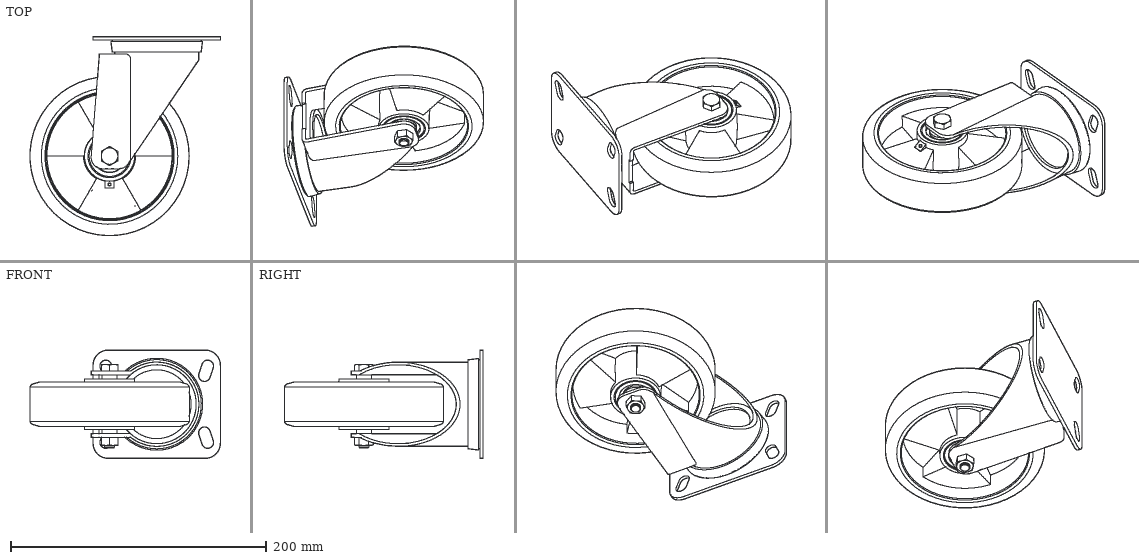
import cadquery as cq
import math


plate_length = 100.0
plate_width = 85.0
plate_thickness = 2.7
plate_corner_radius = 12.0
swivel_offset = 37.0
slot_diameter = 9.0
slot_outer_place = (40.0, 30.0)
slot_inner_place = (37.5, 22.5)
neck_radius = 35.0
neck_height = 1.0

wheel_diameter = 125.0
wheel_width = 35.0
wheel_radius = wheel_diameter / 2
half_wheel = wheel_width / 2
tread_corner_radius = 60.4
tread_corner_half_width = 15.9
tread_cylinder_half_width = 13.5
tread_bulge = (61.6, 15.0)
tread_face_radius = 55.0
core_diameter = 107.0
core_radius = core_diameter / 2
rim_chamfer_radius = 50.7
rim_inner_radius = 49.9
rim_middle_radius = 49.0
rim_chamfer_depth = 0.8

hub_width = 40.0
half_hub = hub_width / 2
hub_face_radius = 19.7
hub_middle_radius = 20.5
hub_chamfer = 1.0
hub_chamfer_depth = 0.6
raised_hub_height = 14.7
raised_rim_height = 6.1
lowered_hub_height = -14.8
lowered_rim_height = -3.6
web_thickness = 1.7
web_overlap = 0.6
web_sectors = 6
sector_angle = 360 / web_sectors
rib_angle = 3.0
tag_width = 7.3
tag_reach = 25.1
tag_hub_height = 17.3
tag_end_height = 13.3
tag_hole_diameter = 2.5
tag_hole_depth = 0.6

bearing_diameter = 32.0
groove_outer_diameter = 25.9
groove_floor_diameter = 25.3
groove_inner_diameter = 20.1
groove_depth = 1.9
tube_diameter = 12.0
bolt_diameter = 8.0
bolt_tip_diameter = 6.7
hex_across_flats = 13.0
head_height = 5.1
nut_height = 6.2
bolt_tip_length = 1.9
hex_corner_diameter = hex_across_flats / math.cos(math.pi / 6)

fork_outer_width = 52.1
fork_sheet = 3.0
half_fork = fork_outer_width / 2
half_gap = half_fork - fork_sheet
bridge_top = 80.2
bridge_bend_radius = 4.2
leg_top_edge = -8.3
leg_bottom_edge = -15.1
leg_end = 10.0
leg_corner_radius = 8.9
skirt_diameter = 66.1
skirt_inner_diameter = 62.0
skirt_radius = skirt_diameter / 2
skirt_cut_start = 75.3
skirt_cut_angle = 55.8
pad_height = 2.3
pad_recess_diameter = 54.0
notch_depth = 1.5
notch_width = 25.0
collar_top_radius = 36.0
collar_bottom_radius = 35.0
collar_height = 8.5

plate_top = 156 - wheel_radius
plate_bottom = plate_top - plate_thickness
collar_top = plate_bottom - neck_height
collar_bottom = collar_top - collar_height
bridge_bottom = bridge_top - fork_sheet


def turned(outline, angle=360, start=0):
    """Solid of a closed (radius, Z) outline turned about Z."""
    solid = cq.Workplane("XZ").polyline(outline).close().revolve(angle, (0, 0), (0, 1))
    return solid.rotate((0, 0, 0), (0, 0, 1), start)


def upright(diameter, bottom, top):
    """Cylinder about the wheel axle between two Z heights."""
    return cq.Workplane("XY").workplane(offset=bottom).circle(diameter / 2).extrude(top - bottom)


def swivel_disc(radius, top, height):
    """Disc about the swivel axis, going down in Y from its top face."""
    return cq.Workplane("XZ", origin=(swivel_offset, top, 0)).circle(radius).extrude(height)


def make_plate():
    """Rounded plate with four slanted bolt slots and the short neck of the swivel."""
    plate = (
        cq.Workplane("XY")
        .box(plate_length, plate_thickness, plate_width)
        .edges("|Y")
        .fillet(plate_corner_radius)
        .translate((swivel_offset, plate_top - plate_thickness / 2, 0))
    )
    slot_dx = slot_outer_place[0] - slot_inner_place[0]
    slot_dz = slot_outer_place[1] - slot_inner_place[1]
    slot_length = math.hypot(slot_dx, slot_dz) + slot_diameter
    slot_angle = math.degrees(math.atan2(slot_dz, slot_dx))
    middle_x = (slot_outer_place[0] + slot_inner_place[0]) / 2
    middle_z = (slot_outer_place[1] + slot_inner_place[1]) / 2
    for side_x in (-1, 1):
        for side_z in (-1, 1):
            slot = (
                cq.Workplane("XZ", origin=(swivel_offset + side_x * middle_x, plate_top, side_z * middle_z))
                .slot2D(slot_length, slot_diameter, side_x * side_z * slot_angle)
                .extrude(plate_thickness)
            )
            plate = plate.cut(slot)
    return plate.union(swivel_disc(neck_radius, plate_bottom, neck_height))


def fork_side_outline():
    """Solid as wide as the skirt whose X-Y outline is the side shape of the fork."""
    cut_run = (skirt_cut_start + leg_end) / math.tan(math.radians(skirt_cut_angle))
    back = swivel_offset + skirt_radius
    outline = [
        (leg_top_edge, bridge_top),
        (leg_top_edge, bridge_bottom),
        (leg_bottom_edge, -leg_end),
        (back - cut_run, -leg_end),
        (back, skirt_cut_start),
        (back, bridge_top),
    ]
    block = cq.Workplane("XY").polyline(outline).close().extrude(skirt_radius, both=True)
    return block.edges("|Z").edges("<Y").fillet(leg_corner_radius)


def make_fork():
    """Two legs on a notched bent bridge, a slanted round skirt behind them and the swivel collar above."""
    tall = bridge_top + leg_end
    legs_length = swivel_offset - leg_bottom_edge
    middle_x = (swivel_offset + leg_bottom_edge) / 2
    strap = (
        cq.Workplane("XY")
        .box(legs_length, tall, fork_outer_width)
        .translate((middle_x, bridge_top - tall / 2, 0))
        .edges("|X and >Y")
        .fillet(bridge_bend_radius)
    )
    strap_space = (
        cq.Workplane("XY")
        .box(legs_length, tall, 2 * half_gap)
        .translate((middle_x, bridge_bottom - tall / 2, 0))
        .edges("|X and >Y")
        .fillet(bridge_bend_radius - fork_sheet)
    )
    skirt = swivel_disc(skirt_radius, bridge_top, tall)
    skirt_space = swivel_disc(skirt_inner_diameter / 2, bridge_bottom, tall)
    fork = strap.union(skirt).cut(strap_space).cut(skirt_space).intersect(fork_side_outline())
    top_disc = swivel_disc(skirt_radius, collar_bottom, collar_bottom - bridge_bottom)
    collar = cq.Workplane(
        cq.Solid.makeCone(
            collar_top_radius,
            collar_bottom_radius,
            collar_height,
            cq.Vector(swivel_offset, collar_top, 0),
            cq.Vector(0, -1, 0),
        )
    )
    pad = swivel_disc(skirt_inner_diameter / 2, bridge_bottom, pad_height)
    pad = pad.cut(swivel_disc(pad_recess_diameter / 2, bridge_bottom, pad_height))
    notch = (
        cq.Workplane("XY")
        .box(2 * notch_depth, 2 * fork_sheet, notch_width)
        .translate((leg_top_edge, bridge_top - fork_sheet / 2, 0))
    )
    bolt_hole = upright(bolt_diameter, -half_fork, half_fork)
    return fork.cut(notch).union(top_disc).union(collar).union(pad).cut(bolt_hole)


def make_tread():
    """Tyre around the core, with rounded shoulders and slightly coned faces."""
    return (
        cq.Workplane("XZ")
        .moveTo(core_radius, -half_wheel)
        .lineTo(tread_face_radius, -half_wheel)
        .lineTo(tread_corner_radius, -tread_corner_half_width)
        .threePointArc((tread_bulge[0], -tread_bulge[1]), (wheel_radius, -tread_cylinder_half_width))
        .lineTo(wheel_radius, tread_cylinder_half_width)
        .threePointArc(tread_bulge, (tread_corner_radius, tread_corner_half_width))
        .lineTo(tread_face_radius, half_wheel)
        .lineTo(core_radius, half_wheel)
        .close()
        .revolve(360, (0, 0), (0, 1))
    )


def make_rim():
    """Ring under the tread, chamfered at both faces and bowed in towards its middle."""
    chamfer_height = half_wheel - rim_chamfer_depth
    return (
        cq.Workplane("XZ")
        .moveTo(core_radius, -half_wheel)
        .lineTo(core_radius, half_wheel)
        .lineTo(rim_chamfer_radius, half_wheel)
        .lineTo(rim_inner_radius, chamfer_height)
        .threePointArc((rim_middle_radius, 0), (rim_inner_radius, -chamfer_height))
        .lineTo(rim_chamfer_radius, -half_wheel)
        .close()
        .revolve(360, (0, 0), (0, 1))
    )


def make_hub():
    """Hub thickest at its middle, with a chamfered bearing bore."""
    bore_radius = bearing_diameter / 2
    chamfer_radius = bore_radius + hub_chamfer
    chamfer_height = half_hub - hub_chamfer_depth
    return turned([
        (bore_radius, -chamfer_height),
        (chamfer_radius, -half_hub),
        (hub_face_radius, -half_hub),
        (hub_middle_radius, 0),
        (hub_face_radius, half_hub),
        (chamfer_radius, half_hub),
        (bore_radius, chamfer_height),
    ])


def web_pieces():
    """Six cone sectors, in turn raised and lowered, the raised ones with a rib at either end."""
    inner = hub_face_radius - web_overlap
    outer = rim_inner_radius + web_overlap
    raised_top = [(inner, raised_hub_height), (outer, raised_rim_height)]
    lowered_top = [(inner, lowered_hub_height), (outer, lowered_rim_height)]
    raised_bottom = [(radius, height - web_thickness) for radius, height in raised_top]
    lowered_bottom = [(radius, height - web_thickness) for radius, height in reversed(lowered_top)]
    pieces = []
    for sector in range(web_sectors):
        start = sector * sector_angle
        if sector % 2 == 0:
            block = turned(raised_top + lowered_bottom, sector_angle, start)
            pocket = turned(raised_bottom + lowered_bottom, sector_angle - 2 * rib_angle, start + rib_angle)
            pieces.append(block.cut(pocket))
        else:
            pieces.append(turned(lowered_top + lowered_bottom, sector_angle, start))
    return pieces


def make_tag():
    """Sloped square pad between hub and web on the -Y side, with a small blind hole."""
    run = tag_reach - hub_face_radius
    drop = tag_hub_height - tag_end_height
    slope = drop / run
    root = hub_face_radius - web_overlap
    outline = [
        (-root, tag_hub_height + slope * web_overlap),
        (-tag_reach, tag_end_height),
        (-tag_reach, tag_end_height - web_thickness),
        (-root, raised_hub_height - web_thickness),
    ]
    pad = cq.Workplane("YZ").polyline(outline).close().extrude(tag_width / 2, both=True)
    hole = cq.Solid.makeCylinder(
        tag_hole_diameter / 2,
        tag_hole_depth,
        cq.Vector(0, -hub_face_radius - run / 2, tag_end_height + drop / 2),
        cq.Vector(0, drop, -run),
    )
    return pad.cut(cq.Workplane(hole))


def make_core():
    """Wheel core: rim, hub, web and pad in one piece."""
    core = make_rim().union(make_hub())
    for piece in web_pieces():
        core = core.union(piece, clean=False)
    return core.union(make_tag(), clean=False)


def make_bearing():
    """Bearing insert through the hub, with a ring groove in each end face."""
    bearing = upright(bearing_diameter, -half_hub, half_hub)
    for side in (-1, 1):
        floor = side * (half_hub - groove_depth)
        groove = turned([
            (groove_inner_diameter / 2, floor),
            (groove_floor_diameter / 2, floor),
            (groove_outer_diameter / 2, side * half_hub),
            (groove_inner_diameter / 2, side * half_hub),
        ])
        bearing = bearing.cut(groove)
    return bearing.cut(upright(tube_diameter, -half_hub, half_hub))


def make_tube():
    """Axle tube between the fork legs."""
    return upright(tube_diameter, -half_gap, half_gap).cut(upright(bolt_diameter, -half_gap, half_gap))


def hexagon(bottom, height):
    """Hexagon about the axle with flats towards +X and -X."""
    prism = cq.Workplane("XY").workplane(offset=bottom).polygon(6, hex_corner_diameter).extrude(height)
    return prism.rotate((0, 0, 0), (0, 0, 1), 30)


def corner_trim(end, side):
    """Cone whose inside leaves the hexagon corners chamfered at one end face."""
    flat_radius = hex_across_flats / 2
    flare = hex_corner_diameter - flat_radius
    depth = flare * math.tan(math.pi / 6)
    tall = head_height + nut_height
    base = end - side * tall
    return turned([
        (0, end),
        (flat_radius, end),
        (flat_radius + flare, end - side * depth),
        (flat_radius + flare, base),
        (0, base),
    ])


def make_bolt():
    """Hexagon bolt through legs and tube, its chamfered tip below the nut."""
    head_top = half_fork + head_height
    tip = -half_fork - nut_height - bolt_tip_length
    head = hexagon(half_fork, head_height).intersect(corner_trim(head_top, 1))
    shank = upright(bolt_diameter, tip, half_fork)
    shank = shank.faces("<Z").chamfer((bolt_diameter - bolt_tip_diameter) / 2)
    return head.union(shank)


def make_nut():
    """Hexagon nut under the lower leg."""
    bottom = -half_fork - nut_height
    nut = hexagon(bottom, nut_height).intersect(corner_trim(bottom, -1))
    return nut.cut(upright(bolt_diameter, bottom, -half_fork))


plate = make_plate()
fork = make_fork()
tread = make_tread()
core = make_core()
bearing = make_bearing()
tube = make_tube()
bolt = make_bolt()
nut = make_nut()

bodies = [plate, fork, tread, core, bearing, tube, bolt, nut]
result = cq.Compound.makeCompound([body.val() for body in bodies])